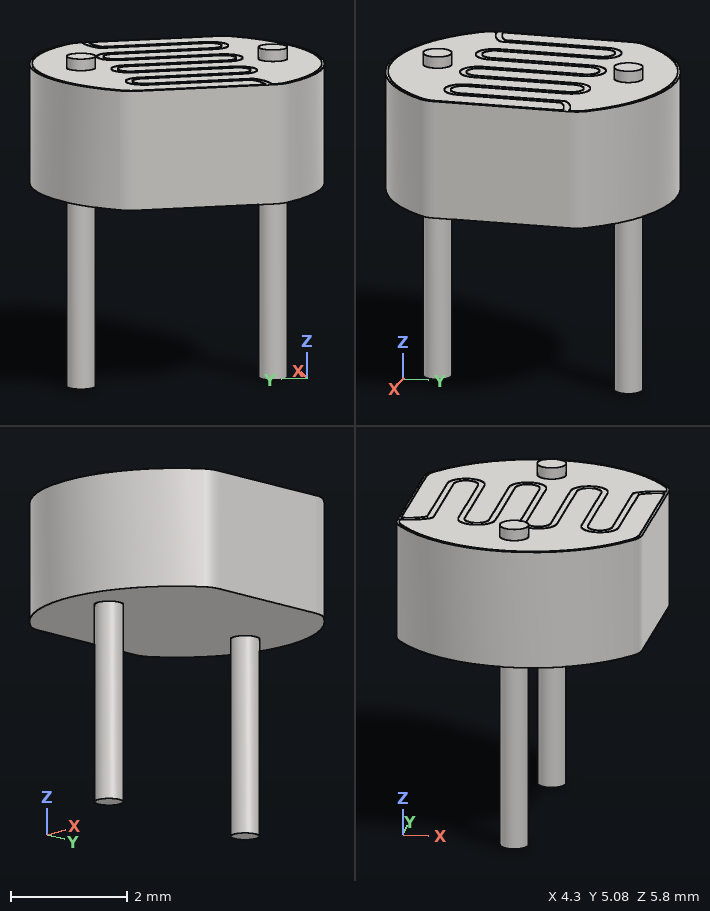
import cadquery as cq
import math

body_radius = 2.54
body_width = 4.3
body_height = 2.1
corner_radius = 0.5

pin_diameter = 0.5
pin_spacing = 3.395
pin_below = 3.5
pin_above = 0.205

coating_thickness = 0.005
coating_margin = 0.045
track_width = 0.11
leg_count = 7
leg_pitch = 0.54
bend_center_y = 0.895

hook_radius = 0.785
hook_end_y = 1.125

base_height = body_height - coating_thickness
first_leg_x = -leg_pitch * (leg_count - 1) / 2


def rounded_body_shape(height):
    """Disc with two flats and rounded corners, standing on Z = 0."""
    disc = cq.Workplane("XY").circle(body_radius).extrude(height)
    flats = cq.Workplane("XY").box(body_width, 2 * body_radius, height, centered=(True, True, False))
    return disc.intersect(flats).edges("|Z").edges("<X or >X").fillet(corner_radius)


def coating_layer():
    """Thin layer over the top face, set in from the rim by an even margin."""
    outline = rounded_body_shape(base_height).faces(">Z").wires().toPending()
    return outline.offset2D(-coating_margin).extrude(coating_thickness)


def top_plane():
    """Workplane on the ceramic, where the coating starts."""
    return cq.Workplane("XY").workplane(offset=base_height)


def block(x_min, x_max, y_min, y_max):
    """Rectangular piece as thick as the coating."""
    return (
        top_plane()
        .center((x_min + x_max) / 2, (y_min + y_max) / 2)
        .rect(x_max - x_min, y_max - y_min)
        .extrude(coating_thickness)
    )


def ring(x, y, radius):
    """Full ring of the track's width around the given center."""
    return (
        top_plane()
        .center(x, y)
        .circle(radius + track_width / 2)
        .circle(radius - track_width / 2)
        .extrude(coating_thickness)
    )


def track_leg(x, y_min):
    """Straight piece along Y, from y_min up to the centers of the +Y bends."""
    return block(x - track_width / 2, x + track_width / 2, y_min, bend_center_y)


def track_bend(x, side):
    """Half ring joining two legs; side is +1 at the +Y end and -1 at the -Y end."""
    outer_radius = (leg_pitch + track_width) / 2
    y_ends = sorted((side * bend_center_y, side * (bend_center_y + outer_radius)))
    half = block(x - outer_radius, x + outer_radius, *y_ends)
    return ring(x, side * bend_center_y, leg_pitch / 2).intersect(half)


def half_track():
    """Track from the -X flat to the middle leg; the other half is this one turned 180 degrees."""
    hook_start_x = coating_margin - body_width / 2
    hook_center_y = hook_radius - hook_end_y
    inner_radius = hook_radius - track_width / 2
    outer_radius = hook_radius + track_width / 2
    corner_x = first_leg_x - track_width / 2
    corner_reach = corner_x - hook_start_x
    corner_y = hook_center_y - math.sqrt(inner_radius**2 - corner_reach**2)
    arc_end_x = hook_start_x + corner_reach * outer_radius / inner_radius
    hook_zone = block(hook_start_x, arc_end_x, hook_center_y - outer_radius, corner_y)
    track = ring(hook_start_x, hook_center_y, hook_radius).intersect(hook_zone)

    turn = top_plane().center(corner_x, corner_y).circle(track_width).extrude(coating_thickness)
    turn_zone = block(corner_x, corner_x + track_width, corner_y - track_width, corner_y)
    track = track.union(turn.intersect(turn_zone)).union(track_leg(first_leg_x, corner_y))

    side = 1
    for index in range(1, leg_count // 2 + 1):
        leg_x = first_leg_x + index * leg_pitch
        track = track.union(track_bend(leg_x - leg_pitch / 2, side))
        track = track.union(track_leg(leg_x, -bend_center_y))
        side = -side
    return track


def pins():
    """Both leads, their tips standing just above the body."""
    return (
        cq.Workplane("XY")
        .workplane(offset=-pin_below)
        .pushPoints([(0, -pin_spacing / 2), (0, pin_spacing / 2)])
        .circle(pin_diameter / 2)
        .extrude(pin_below + body_height + pin_above)
    )


track_half = half_track()
other_half = track_half.rotate((0, 0, 0), (0, 0, 1), 180)
coating = coating_layer().cut(track_half).cut(other_half)
result = rounded_body_shape(base_height).union(coating).union(pins())